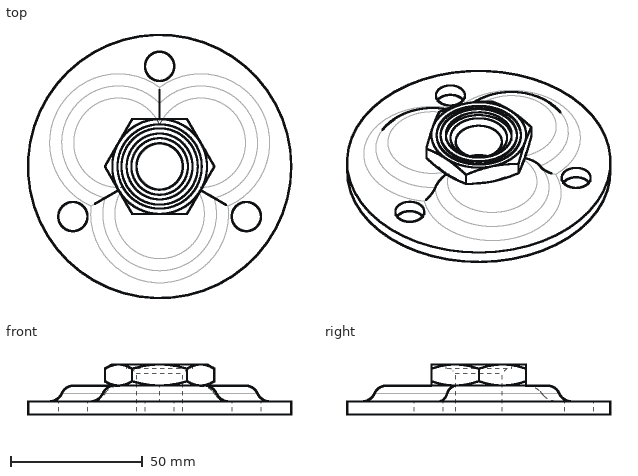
import cadquery as cq
import math

PLATE_DIAMETER = 100
PLATE_THICKNESS = 5

LOBE_COUNT = 3
LOBE_SPACING = 360 / LOBE_COUNT
LOBE_OFFSET = 18
LOBE_TOP_DIAMETER = 34
LOBE_HEIGHT = 6
LOBE_FIRST_ANGLE = -90
FLANK_RADIUS = 5

HOLE_DIAMETER = 11
HOLE_CIRCLE_RADIUS = 38

HEX_SIDES = 6
HEX_ACROSS_FLATS = 36
HEX_HEIGHT = 8
HEX_CHAMFER_ANGLE = 30

GROOVE_OUTER_DIAMETER = 32
GROOVE_INNER_DIAMETER = 29
GROOVE_DEPTH = 0.3
RECESS_DIAMETER = 25
RECESS_DEPTH = 1.5
BORE_DIAMETER = 17.5
BORE_CHAMFER = 2

LOBE_TOP_Z = PLATE_THICKNESS + LOBE_HEIGHT
TOP_Z = LOBE_TOP_Z + HEX_HEIGHT


def polar(radius, angle):
    """Point at a polar position in the XY plane."""
    return (radius * math.cos(math.radians(angle)), radius * math.sin(math.radians(angle)))


def cylinder(diameter, bottom_z, height):
    """Upright cylinder on the central axis."""
    return cq.Workplane("XY").workplane(offset=bottom_z).circle(diameter / 2).extrude(height)


def make_lobe():
    """Round lobe on the Z axis with an S-shaped flank: convex above, concave below."""
    half_height = LOBE_HEIGHT / 2
    arc_angle = math.acos(1 - half_height / FLANK_RADIUS)
    arc_width = FLANK_RADIUS * math.sin(arc_angle)
    mid_arc_width = FLANK_RADIUS * math.sin(arc_angle / 2)
    mid_arc_drop = FLANK_RADIUS * (1 - math.cos(arc_angle / 2))
    top_radius = LOBE_TOP_DIAMETER / 2
    foot_radius = top_radius + 2 * arc_width
    return (
        cq.Workplane("XZ")
        .moveTo(0, 0)
        .lineTo(0, LOBE_TOP_Z)
        .lineTo(top_radius, LOBE_TOP_Z)
        .threePointArc(
            (top_radius + mid_arc_width, LOBE_TOP_Z - mid_arc_drop),
            (top_radius + arc_width, LOBE_TOP_Z - half_height),
        )
        .threePointArc(
            (foot_radius - mid_arc_width, PLATE_THICKNESS + mid_arc_drop),
            (foot_radius, PLATE_THICKNESS),
        )
        .lineTo(foot_radius, 0)
        .close()
        .revolve(360, (0, 0, 0), (0, 1, 0))
    )


def make_hex_boss():
    """Hexagon with its corners chamfered conically at both ends."""
    flat_radius = HEX_ACROSS_FLATS / 2
    corner_radius = flat_radius / math.cos(math.pi / HEX_SIDES)
    cone_width = 2 * (corner_radius - flat_radius)
    cone_height = cone_width * math.tan(math.radians(HEX_CHAMFER_ANGLE))
    prism = (
        cq.Workplane("XY").workplane(offset=LOBE_TOP_Z)
        .polygon(HEX_SIDES, 2 * corner_radius).extrude(HEX_HEIGHT)
    )
    envelope = (
        cq.Workplane("XZ")
        .moveTo(0, LOBE_TOP_Z)
        .lineTo(flat_radius, LOBE_TOP_Z)
        .lineTo(flat_radius + cone_width, LOBE_TOP_Z + cone_height)
        .lineTo(flat_radius + cone_width, TOP_Z - cone_height)
        .lineTo(flat_radius, TOP_Z)
        .lineTo(0, TOP_Z)
        .close()
        .revolve(360, (0, 0, 0), (0, 1, 0))
    )
    return prism.intersect(envelope)


def make_bore():
    """Through bore with a chamfered mouth at the floor of a round recess."""
    bore_radius = BORE_DIAMETER / 2
    mouth_radius = bore_radius + BORE_CHAMFER
    recess_radius = RECESS_DIAMETER / 2
    floor_z = TOP_Z - RECESS_DEPTH
    return (
        cq.Workplane("XZ")
        .polyline([
            (0, 0),
            (bore_radius, 0),
            (bore_radius, floor_z - BORE_CHAMFER),
            (mouth_radius, floor_z),
            (recess_radius, floor_z),
            (recess_radius, TOP_Z),
            (0, TOP_Z),
        ])
        .close()
        .revolve(360, (0, 0, 0), (0, 1, 0))
    )


def make_face_groove():
    """Shallow ring groove in the top face of the boss."""
    floor_z = TOP_Z - GROOVE_DEPTH
    outer = cylinder(GROOVE_OUTER_DIAMETER, floor_z, GROOVE_DEPTH)
    return outer.cut(cylinder(GROOVE_INNER_DIAMETER, floor_z, GROOVE_DEPTH))


body = cylinder(PLATE_DIAMETER, 0, PLATE_THICKNESS)

lobe = make_lobe()
for index in range(LOBE_COUNT):
    lobe_angle = LOBE_FIRST_ANGLE + index * LOBE_SPACING
    x, y = polar(LOBE_OFFSET, lobe_angle)
    body = body.union(lobe.translate((x, y, 0)))

body = body.union(make_hex_boss())

for index in range(LOBE_COUNT):
    hole_angle = LOBE_FIRST_ANGLE + (index + 0.5) * LOBE_SPACING
    x, y = polar(HOLE_CIRCLE_RADIUS, hole_angle)
    body = body.cut(cylinder(HOLE_DIAMETER, 0, PLATE_THICKNESS).translate((x, y, 0)))

result = body.cut(make_bore()).cut(make_face_groove())